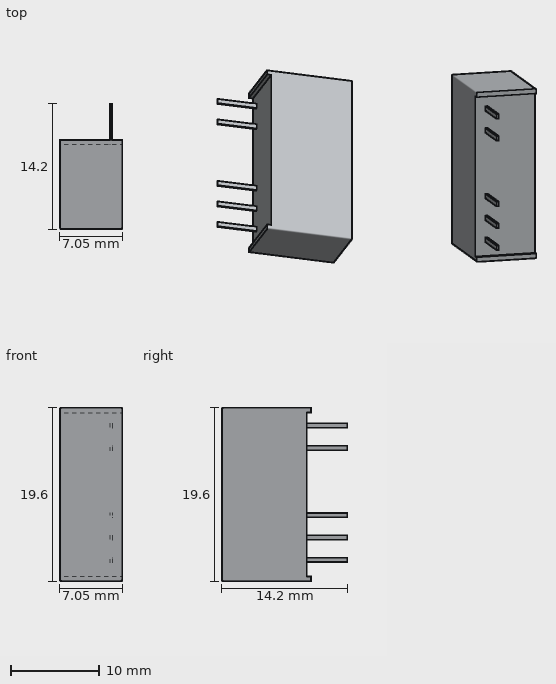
import cadquery as cq

HOUSING_WIDTH = 7.05
HOUSING_HEIGHT = 19.65
OVERALL_DEPTH = 14.2
PIN_REACH = 4.1
HOUSING_DEPTH = OVERALL_DEPTH - PIN_REACH
EDGE_RADIUS = 0.15

LIP_DEPTH = 0.5
LIP_HEIGHT = 0.55

PIN_WIDTH = 0.25
PIN_HEIGHT = 0.53
PIN_PITCH = 2.53
PIN_X = 2.24
LOWEST_PIN_Z = -7.4
PIN_POSITIONS = (0, 1, 2, 5, 6)

PIN_FACE_Y = HOUSING_DEPTH - LIP_DEPTH
PIN_LENGTH = PIN_REACH + LIP_DEPTH


def make_housing():
    """Block rounded on every edge except around the pin side, recessed between its lips."""
    block = cq.Workplane("XY").box(
        HOUSING_WIDTH, HOUSING_DEPTH, HOUSING_HEIGHT, centered=(True, False, True)
    )
    block = block.edges("not(>Y)").fillet(EDGE_RADIUS)
    recess = (
        cq.Workplane("XY")
        .box(
            HOUSING_WIDTH, LIP_DEPTH, HOUSING_HEIGHT - 2 * LIP_HEIGHT,
            centered=(True, False, True),
        )
        .translate((0, PIN_FACE_Y, 0))
    )
    return block.cut(recess).solids()


def make_pin(position):
    """Flat pin standing on the recessed face at the given place in the row."""
    pin_z = LOWEST_PIN_Z + position * PIN_PITCH
    return (
        cq.Workplane("XY")
        .box(PIN_WIDTH, PIN_LENGTH, PIN_HEIGHT, centered=(True, False, True))
        .translate((PIN_X, PIN_FACE_Y, pin_z))
    )


housing = make_housing()
pins = [make_pin(position) for position in PIN_POSITIONS]

result = cq.Compound.makeCompound([housing.val(), *[pin.val() for pin in pins]])